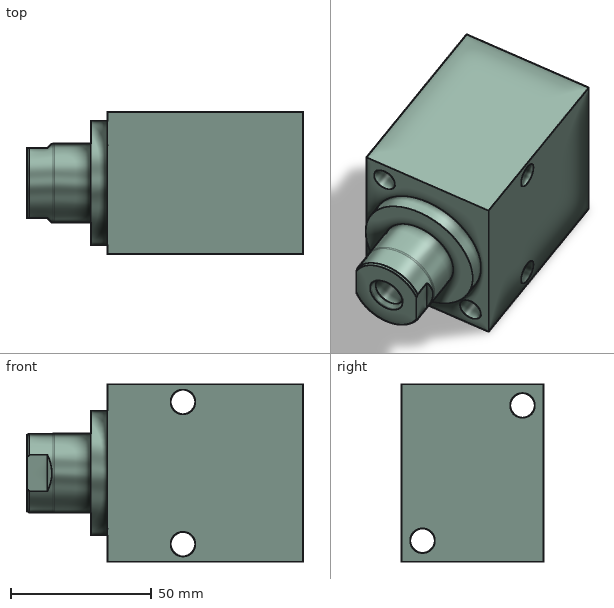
import cadquery as cq

total_length = 98.55
block_width = 50.8
block_height = 63.5
block_start = 28.7

flange_diameter = 44.5
flange_start = 22.9
rod_diameter = 28.4
tip_diameter = 28.2
tip_length = 9.2
step_length = 0.6
tip_chamfer_length = 0.9
tip_chamfer_depth = 0.4

flat_width = 25.0
flat_length = 7.3
cutter_clearance = 1.0

bore_diameter = 11.4
bore_mouth_diameter = 13.5
mouth_chamfer_length = 0.5
recess_diameter = 13.0
recess_length = 2.2
bore_depth = 19.7

hole_diameter = 8.7
side_hole_x = 55.7
side_hole_spacing = 50.8
end_hole_y = 17.8
end_hole_z = 24.1


def make_block():
    block_length = total_length - block_start
    return cq.Workplane("XY").box(block_length, block_width, block_height).translate(
        (block_start + block_length / 2, 0, 0)
    )


def make_rod():
    """Revolve the rod and flange profile about X."""
    tip_radius = tip_diameter / 2
    rod_radius = rod_diameter / 2
    flange_radius = flange_diameter / 2
    profile = [
        (0, 0),
        (0, tip_radius - tip_chamfer_depth),
        (tip_chamfer_length, tip_radius),
        (tip_length, tip_radius),
        (tip_length + step_length, rod_radius),
        (flange_start, rod_radius),
        (flange_start, flange_radius),
        (block_start, flange_radius),
        (block_start, 0),
    ]
    return cq.Workplane("XY").polyline(profile).close().revolve(360, (0, 0, 0), (1, 0, 0))


def make_flat_cutter():
    """Material removed beside the flat on the +Y side."""
    flat_y = flat_width / 2
    outer_y = rod_diameter / 2 + cutter_clearance
    profile = [
        (0, flat_y),
        (flat_length, flat_y),
        (flat_length + outer_y - flat_y, outer_y),
        (0, outer_y),
    ]
    return cq.Workplane("XY").polyline(profile).close().extrude(rod_diameter / 2, both=True)


def make_bore():
    """Blind bore with a chamfered mouth and a steep conical lead-in."""
    bore_radius = bore_diameter / 2
    mouth_radius = bore_mouth_diameter / 2
    profile = [
        (0, 0),
        (0, mouth_radius),
        (mouth_chamfer_length, recess_diameter / 2),
        (recess_length, bore_radius),
        (bore_depth, bore_radius),
        (bore_depth, 0),
    ]
    return cq.Workplane("XY").polyline(profile).close().revolve(360, (0, 0, 0), (1, 0, 0))


def make_hole(start, direction, length):
    return cq.Workplane(
        cq.Solid.makeCylinder(hole_diameter / 2, length, cq.Vector(*start), cq.Vector(*direction))
    )


result = make_block().union(make_rod())

flat_cutter = make_flat_cutter()
result = result.cut(flat_cutter).cut(flat_cutter.mirror("XZ"))
result = result.cut(make_bore())

for side in (1, -1):
    cross_start = (side_hole_x, -block_width / 2, side * side_hole_spacing / 2)
    result = result.cut(make_hole(cross_start, (0, 1, 0), block_width))
    corner_start = (block_start, side * end_hole_y, side * end_hole_z)
    result = result.cut(make_hole(corner_start, (1, 0, 0), total_length - block_start))